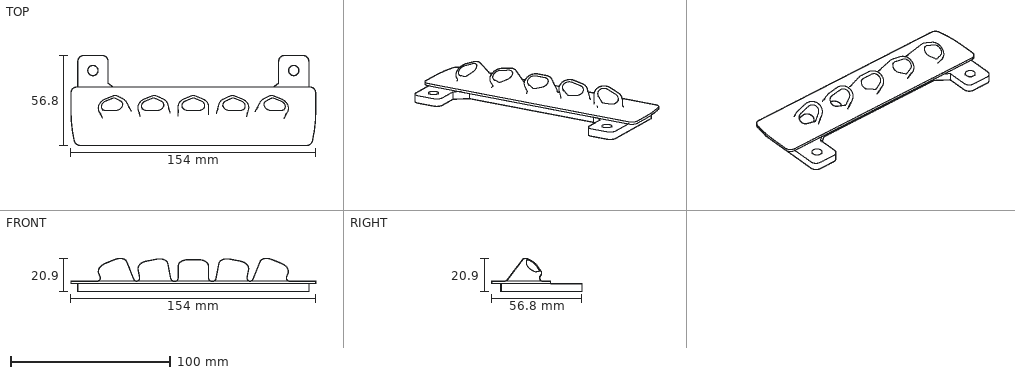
import cadquery as cq
import math

plate_width = 154.0
plate_depth = 37.0
plate_thickness = 1.5
plate_corner_radius = 4.0
side_bend_y = 21.5
side_curve_inset = 2.8

base_width = 145.4
base_height = 5.0
base_front_y = 5.6
base_back_y = 33.0
base_corner_radius = 2.5
base_step = 0.55
base_step_start = 4.7
base_step_end = 8.4
tab_width = 19.2
tab_back_y = 56.8
tab_corner_radius = 4.0
tab_gusset_y = 39.2
tab_gusset_slope = 0.75
screw_hole_diameter = 6.3
screw_hole_y = 47.2

nozzle_spacing = 23.3
nozzle_count = 5
fan_step = 11.0
back_tilt = 35.0
pivot_y = 16.8
pivot_depth = 1.5
nozzle_length = 14.7
bore_end_radius = 3.9
bore_end_offset = 3.2
bore_roof_slope = 27.0
bore_tip_radius = 1.5
wall = 2.5
rim_radius = 1.5
root_radius = 2.05

pad_width = 29.0
pad_margin = 1.0

plate_top = base_height + plate_thickness
below_part = 30.0
select_margin = 0.1


def make_plate():
    half = plate_width / 2
    curve_radius = (side_bend_y**2 + side_curve_inset**2) / (2 * side_curve_inset)
    mid_angle = math.asin(side_bend_y / curve_radius) / 2
    mid_x = half - curve_radius * (1 - math.cos(mid_angle))
    mid_y = side_bend_y - curve_radius * math.sin(mid_angle)
    front_x = half - side_curve_inset
    body = (
        cq.Workplane("XY", origin=(0, 0, base_height))
        .moveTo(-front_x, 0)
        .lineTo(front_x, 0)
        .threePointArc((mid_x, mid_y), (half, side_bend_y))
        .lineTo(half, plate_depth)
        .lineTo(-half, plate_depth)
        .lineTo(-half, side_bend_y)
        .threePointArc((-mid_x, mid_y), (-front_x, 0))
        .close()
        .extrude(plate_thickness)
    )
    return body.edges("|Z and (<Y or >Y)").fillet(plate_corner_radius)


def make_base():
    half = base_width / 2
    corner_y = base_front_y + base_step
    tab_inner = half - tab_width
    gusset_end = tab_inner - (tab_gusset_y - base_back_y) / tab_gusset_slope
    body = (
        cq.Workplane("XY")
        .polyline([
            (-half, corner_y), (base_step_start - half, corner_y),
            (base_step_end - half, base_front_y), (half - base_step_end, base_front_y),
            (half - base_step_start, corner_y), (half, corner_y),
            (half, tab_back_y), (tab_inner, tab_back_y),
            (tab_inner, tab_gusset_y), (gusset_end, base_back_y),
            (-gusset_end, base_back_y), (-tab_inner, tab_gusset_y),
            (-tab_inner, tab_back_y), (-half, tab_back_y),
        ])
        .close()
        .extrude(base_height)
    )
    body = body.edges("|Z and >Y").fillet(tab_corner_radius)
    body = body.edges("|Z and (<X or >X)").edges("<Y").fillet(base_corner_radius)
    hole_x = half - tab_width / 2
    holes = (
        cq.Workplane("XY")
        .pushPoints([(-hole_x, screw_hole_y), (hole_x, screw_hole_y)])
        .circle(screw_hole_diameter / 2)
        .extrude(base_height)
    )
    return body.cut(holes)


def nozzle_prism(growth):
    """Upright prism of the bore section enlarged by growth, its top on the rim plane."""
    radius = bore_end_radius + growth
    slope = math.radians(bore_roof_slope)
    roof_x = bore_end_offset + radius * math.sin(slope)
    roof_y = radius * math.cos(slope)
    apex_y = roof_y + roof_x * math.tan(slope)
    side_x = bore_end_offset + radius
    prism = (
        cq.Workplane("XY", origin=(0, 0, -below_part))
        .moveTo(-bore_end_offset, -radius)
        .lineTo(bore_end_offset, -radius)
        .threePointArc((side_x, 0), (roof_x, roof_y))
        .lineTo(0, apex_y)
        .lineTo(-roof_x, roof_y)
        .threePointArc((-side_x, 0), (-bore_end_offset, -radius))
        .close()
        .extrude(below_part + nozzle_length)
    )
    return prism.edges("|Z and >Y").fillet(bore_tip_radius + growth)


def place_nozzle(shape, place):
    """Lean a prism back and sideways, then move it to its place in the row."""
    leaned = shape.rotate((0, 0, 0), (1, 0, 0), -back_tilt)
    fanned = leaned.rotate((0, 0, 0), (0, 1, 0), place * fan_step)
    return fanned.translate((place * nozzle_spacing, pivot_y, plate_top - pivot_depth))


def make_rooted_nozzle(place):
    """One outer tube, flush with the plate bottom and blended into its pad."""
    pad_depth = plate_depth - 2 * pad_margin
    pad_x = place * nozzle_spacing
    pad = (
        cq.Workplane("XY", origin=(pad_x, plate_depth / 2, base_height))
        .rect(pad_width, pad_depth)
        .extrude(plate_thickness)
    )
    below_plate = (
        cq.Workplane("XY", origin=(0, 0, base_height - below_part))
        .rect(2 * plate_width, 2 * plate_width)
        .extrude(below_part)
    )
    tube = nozzle_prism(wall).faces(">Z").edges().fillet(rim_radius)
    blended = pad.union(place_nozzle(tube, place).cut(below_plate))
    root_edges = cq.selectors.BoxSelector(
        (pad_x - plate_width, pad_margin + select_margin, plate_top - select_margin),
        (pad_x + plate_width, plate_depth - pad_margin - select_margin, plate_top + select_margin),
        boundingbox=True,
    )
    return blended.edges(root_edges).fillet(root_radius)


result = make_plate().union(make_base())
middle = (nozzle_count - 1) // 2
places = range(-middle, middle + 1)
for place in places:
    result = result.union(make_rooted_nozzle(place))
bore = nozzle_prism(0)
for place in places:
    result = result.cut(place_nozzle(bore, place))